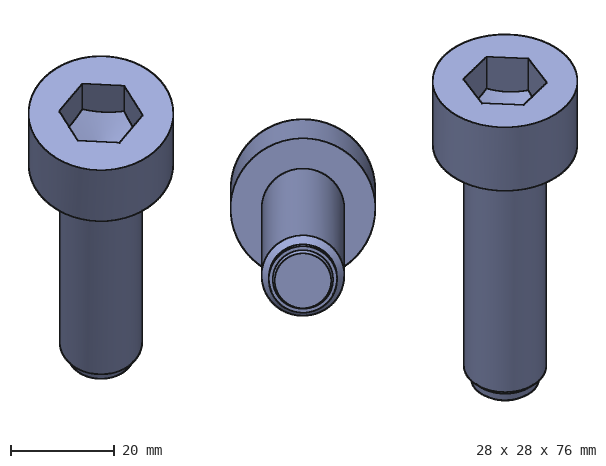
import cadquery as cq
import math


head_diameter = 28.0
head_height = 16.0

hex_across_flats = 14.0
hex_across_corners = hex_across_flats / math.cos(math.pi / 6)
hex_depth = 8.0
drill_point_angle = 120.0

shank_diameter = 16.0
tip_diameter = 13.2
length_under_head = 60.0
ball_protrusion = 1.1
tip_length = 1.6
tip_chamfer_height = 1.6

ball_diameter = 12.0
ball_flat_diameter = 10.9

flat_z = -length_under_head
tip_face_z = flat_z + ball_protrusion
tip_shoulder_z = tip_face_z + tip_length
shank_end_z = tip_shoulder_z + tip_chamfer_height
ball_center_z = flat_z + math.sqrt(ball_diameter**2 - ball_flat_diameter**2) / 2


def make_hex_socket():
    """Hexagonal prism ending in a cone whose rim passes through the hexagon corners."""
    rim_radius = hex_across_corners / 2
    cone_depth = rim_radius / math.tan(math.radians(drill_point_angle / 2))
    rim_z = head_height - hex_depth
    prism = (
        cq.Workplane("XY")
        .workplane(offset=rim_z - cone_depth)
        .polygon(6, hex_across_corners)
        .extrude(hex_depth + cone_depth)
    )
    drill_envelope = (
        cq.Workplane("XZ")
        .moveTo(0, rim_z - cone_depth)
        .lineTo(rim_radius, rim_z)
        .lineTo(rim_radius, head_height)
        .lineTo(0, head_height)
        .close()
        .revolve()
    )
    return prism.intersect(drill_envelope)


def make_ball():
    """Ball cut off flat at the lower end."""
    flat_radius = ball_flat_diameter / 2
    ball_radius = ball_diameter / 2
    return (
        cq.Workplane("XZ")
        .moveTo(0, flat_z)
        .lineTo(flat_radius, flat_z)
        .threePointArc((ball_radius, ball_center_z), (0, ball_center_z + ball_radius))
        .close()
        .revolve()
    )


def make_screw(ball):
    """Turned screw with a hexagon socket in the head and a seat around the ball."""
    blank = (
        cq.Workplane("XZ")
        .moveTo(0, tip_face_z)
        .lineTo(tip_diameter / 2, tip_face_z)
        .lineTo(tip_diameter / 2, tip_shoulder_z)
        .lineTo(shank_diameter / 2, shank_end_z)
        .lineTo(shank_diameter / 2, 0)
        .lineTo(head_diameter / 2, 0)
        .lineTo(head_diameter / 2, head_height)
        .lineTo(0, head_height)
        .close()
        .revolve()
    )
    return blank.cut(make_hex_socket()).cut(ball)


ball = make_ball()
screw = make_screw(ball)

result = cq.Compound.makeCompound([screw.val(), ball.val()])